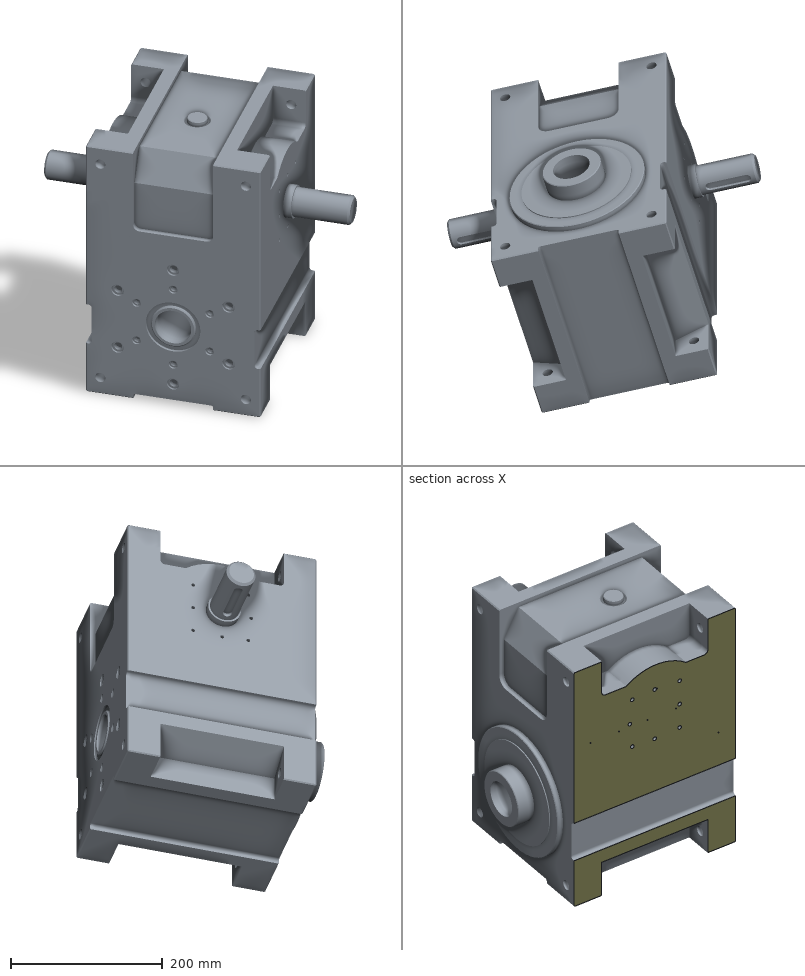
import cadquery as cq


WIDTH = 240.0
DEPTH = 260.0
HEIGHT = 380.0
EDGE_CHAMFER = 1.5
OUTPUT_AXIS_HEIGHT = 120.0
CENTRE_DISTANCE = 140.0
BOTTOM_Z = -OUTPUT_AXIS_HEIGHT
TOP_Z = BOTTOM_Z + HEIGHT
MID_Z = (BOTTOM_Z + TOP_Z) / 2
HALF_WIDTH = WIDTH / 2
HALF_DEPTH = DEPTH / 2

NOTCH_WIDTH = 110.0
NOTCH_DEPTH = 120.0
NOTCH_FLOOR_Z = TOP_Z - NOTCH_DEPTH
FRONT_NOTCH_RADIUS = 9.0
REAR_NOTCH_RADIUS = 15.0
CORE_INSET = 7.5
CORE_DROP = 7.5
CORE_SLOPE_RUN = 23.5
CORE_SLOPE_DROP = 43.0
BOTTOM_NOTCH_DEPTH = 7.5
BOTTOM_NOTCH_RADIUS = 3.0

GROOVE_BOTTOM_Z = -45.0
GROOVE_TOP_Z = 15.0
GROOVE_DEPTH = 8.0
GROOVE_RADIUS = 4.5

POCKET_LENGTH = 170.0
POCKET_DEPTH = 45.0
UPPER_POCKET_HEIGHT = 56.0
UPPER_POCKET_RADIUS = 6.0
BEARING_RIM_RADIUS = 80.0
BEARING_RIM_Y = -2.0
LOWER_POCKET_OUTER_HEIGHT = 55.0
LOWER_POCKET_INNER_HEIGHT = 35.0

MOUNT_HOLE_DIAMETER = 14.0
MOUNT_SPACING_X = 200.0
MOUNT_SPACING_Z = 330.0

FLANGE_DIAMETER = 185.0
FLANGE_THICKNESS = 8.5
FLANGE_STEP_DIAMETER = 150.0
FLANGE_STEP_HEIGHT = 10.0
HUB_DIAMETER = 80.0
HUB_LENGTH = 35.0
HUB_CHAMFER = 1.0
FLANGE_CHAMFER = 1.0
BORE_DIAMETER = 50.0
SLEEVE_DIAMETER = 61.0
SLEEVE_CHAMFER = 1.5
SEAL_DIAMETER = 75.0
SEAL_DEPTH = 4.0

SCREWS_PER_CIRCLE = 6
OUTER_SCREW_RADIUS = 88.0
OUTER_SCREW_HEAD_DIAMETER = 17.0
OUTER_SCREW_HOLE_DIAMETER = 11.0
INNER_SCREW_RADIUS = 58.0
INNER_SCREW_HEAD_DIAMETER = 12.0
INNER_SCREW_HOLE_DIAMETER = 8.0
SCREW_HEAD_DEPTH = 3.0
SCREW_HOLE_DEPTH = 10.0

SHAFT_SPAN = 420.0
SHAFT_DIAMETER = 40.0
SHAFT_CHAMFER = 3.0
COLLAR_DIAMETER = 45.0
COLLAR_LENGTH = 11.0
KEYWAY_WIDTH = 12.0
KEYWAY_DEPTH = 5.0
KEYWAY_LENGTH = 62.0
KEYWAY_END_GAP = 9.0

SIDE_HOLE_DIAMETER = 5.0
SIDE_HOLE_DEPTH = 6.0
SIDE_CIRCLE_RADIUS = 40.0
SIDE_SQUARE_PITCH = 76.0

PLUG_DIAMETER = 27.0
PLUG_HEIGHT = 5.0
PLUG_CHAMFER = 1.0
PLUG_Y = -15.0
PLUG_RECESS_DIAMETER = 36.0
PLUG_RECESS_DEPTH = 2.0
PLUG_RECESS_TAPER = 45.0


def cylinder_y(diameter, start_y, end_y):
    """Cylinder on the output axis between two Y positions."""
    start = cq.Vector(0, start_y, 0)
    solid = cq.Solid.makeCylinder(diameter / 2, end_y - start_y, start, cq.Vector(0, 1, 0))
    return cq.Workplane(obj=solid)


def cylinder_x(diameter, length):
    """Cylinder on the input axis, centred on x = 0."""
    start = cq.Vector(-length / 2, 0, CENTRE_DISTANCE)
    solid = cq.Solid.makeCylinder(diameter / 2, length, start, cq.Vector(1, 0, 0))
    return cq.Workplane(obj=solid)


def box_between(x0, x1, y0, y1, z0, z1):
    """Axis-aligned box between two opposite corners."""
    return cq.Workplane().box(x1 - x0, y1 - y0, z1 - z0, centered=False).translate((x0, y0, z0))


def both_sides(tool):
    """The given body together with its mirror image across x = 0."""
    return tool.union(tool.mirror("YZ"))


def housing_block():
    block = box_between(-HALF_WIDTH, HALF_WIDTH, -HALF_DEPTH, HALF_DEPTH, BOTTOM_Z, TOP_Z)
    return block.edges().chamfer(EDGE_CHAMFER)


def top_notch():
    """Slot over the top, wrapped around a core with sloping front and rear shoulders."""
    half_notch = NOTCH_WIDTH / 2
    front = box_between(-half_notch, half_notch, -HALF_DEPTH, 0, NOTCH_FLOOR_Z, TOP_Z)
    front = front.edges("|Y and <Z").fillet(FRONT_NOTCH_RADIUS)
    rear = box_between(-half_notch, half_notch, 0, HALF_DEPTH, NOTCH_FLOOR_Z, TOP_Z)
    rear = rear.edges("|Y and <Z").fillet(REAR_NOTCH_RADIUS)

    core_top_z = TOP_Z - CORE_DROP
    shoulder_z = core_top_z - CORE_SLOPE_DROP
    core_half_depth = HALF_DEPTH - CORE_INSET
    ridge_half_depth = core_half_depth - CORE_SLOPE_RUN
    core = (
        cq.Workplane("YZ")
        .moveTo(-core_half_depth, NOTCH_FLOOR_Z)
        .lineTo(-core_half_depth, shoulder_z)
        .lineTo(-ridge_half_depth, core_top_z)
        .lineTo(ridge_half_depth, core_top_z)
        .lineTo(core_half_depth, shoulder_z)
        .lineTo(core_half_depth, NOTCH_FLOOR_Z)
        .close()
        .extrude(half_notch, both=True)
    )
    return front.union(rear).cut(core)


def bottom_notch():
    half_notch = NOTCH_WIDTH / 2
    roof_z = BOTTOM_Z + BOTTOM_NOTCH_DEPTH
    notch = box_between(-half_notch, half_notch, -HALF_DEPTH, HALF_DEPTH, BOTTOM_Z, roof_z)
    return notch.edges("|Y and >Z").fillet(BOTTOM_NOTCH_RADIUS)


def side_grooves():
    floor_x = -HALF_WIDTH + GROOVE_DEPTH
    groove = box_between(
        -HALF_WIDTH, floor_x, -HALF_DEPTH, HALF_DEPTH, GROOVE_BOTTOM_Z, GROOVE_TOP_Z
    )
    return both_sides(groove.edges("|Y and >X").fillet(GROOVE_RADIUS))


def upper_pockets():
    """Pockets open to the top, with the round bearing housing rising through the floor."""
    half_length = POCKET_LENGTH / 2
    inner_x = -HALF_WIDTH + POCKET_DEPTH
    pocket = box_between(
        -HALF_WIDTH, inner_x, -half_length, half_length, TOP_Z - UPPER_POCKET_HEIGHT, TOP_Z
    )
    pocket = pocket.edges("|X and <Z").fillet(UPPER_POCKET_RADIUS)
    rim = cylinder_x(2 * BEARING_RIM_RADIUS, WIDTH).translate((0, BEARING_RIM_Y, 0))
    return both_sides(pocket.cut(rim))


def lower_pockets():
    """Pockets open to the bottom, with a roof that slopes down towards the middle."""
    inner_x = -HALF_WIDTH + POCKET_DEPTH
    pocket = (
        cq.Workplane("XZ")
        .moveTo(-HALF_WIDTH, BOTTOM_Z)
        .lineTo(-HALF_WIDTH, BOTTOM_Z + LOWER_POCKET_OUTER_HEIGHT)
        .lineTo(inner_x, BOTTOM_Z + LOWER_POCKET_INNER_HEIGHT)
        .lineTo(inner_x, BOTTOM_Z)
        .close()
        .extrude(POCKET_LENGTH / 2, both=True)
    )
    return both_sides(pocket)


def mounting_holes():
    return (
        cq.Workplane("XZ", origin=(0, 0, MID_Z))
        .rect(MOUNT_SPACING_X, MOUNT_SPACING_Z, forConstruction=True)
        .vertices()
        .circle(MOUNT_HOLE_DIAMETER / 2)
        .extrude(HALF_DEPTH, both=True)
    )


def output_hub():
    """Rear flange with a raised face and the hub that carries the bore."""
    flange = cylinder_y(FLANGE_DIAMETER, 0, HALF_DEPTH + FLANGE_THICKNESS)
    flange = flange.faces(">Y").chamfer(FLANGE_CHAMFER)
    raised_face = cylinder_y(FLANGE_STEP_DIAMETER, 0, HALF_DEPTH + FLANGE_STEP_HEIGHT)
    hub = cylinder_y(HUB_DIAMETER, 0, HALF_DEPTH + HUB_LENGTH)
    hub = hub.faces(">Y").chamfer(HUB_CHAMFER)
    return flange.union(raised_face).union(hub)


def output_bore():
    """Through bore, and a seal groove around the chamfered sleeve at its front end."""
    front_y = -HALF_DEPTH
    bore = cylinder_y(BORE_DIAMETER, front_y, HALF_DEPTH + HUB_LENGTH)
    sleeve = cylinder_y(SLEEVE_DIAMETER, front_y, front_y + SEAL_DEPTH)
    sleeve = sleeve.faces("<Y").chamfer(SLEEVE_CHAMFER)
    seal_groove = cylinder_y(SEAL_DIAMETER, front_y, front_y + SEAL_DEPTH).cut(sleeve)
    return bore.union(seal_groove)


def screw_circle(radius, head_diameter, hole_diameter):
    """Ring of blind counterbored holes in the front face, the first one straight up."""
    front_y = -HALF_DEPTH
    head = cylinder_y(head_diameter, front_y, front_y + SCREW_HEAD_DEPTH)
    hole = cylinder_y(hole_diameter, front_y, front_y + SCREW_HOLE_DEPTH)
    screw = head.union(hole).translate((0, 0, radius))
    screws = cq.Workplane()
    for index in range(SCREWS_PER_CIRCLE):
        angle = index * 360 / SCREWS_PER_CIRCLE
        screws = screws.add(screw.rotate((0, 0, 0), (0, 1, 0), angle))
    return screws.combine()


def input_shaft():
    """Double-ended shaft with collars, and a keyway on the underside of each end."""
    shaft = cylinder_x(SHAFT_DIAMETER, SHAFT_SPAN).faces("<X or >X").chamfer(SHAFT_CHAMFER)
    collars = cylinder_x(COLLAR_DIAMETER, WIDTH + 2 * COLLAR_LENGTH)
    keyway_x = SHAFT_SPAN / 2 - KEYWAY_END_GAP - KEYWAY_LENGTH / 2
    keyway_z = CENTRE_DISTANCE - SHAFT_DIAMETER / 2
    keyways = (
        cq.Workplane("XY", origin=(0, 0, keyway_z))
        .pushPoints([(-keyway_x, 0), (keyway_x, 0)])
        .slot2D(KEYWAY_LENGTH, KEYWAY_WIDTH)
        .extrude(KEYWAY_DEPTH)
    )
    return shaft.cut(keyways).union(collars)


def side_screw_holes():
    """Two sets of four blind holes around the input shaft on both sides."""
    half_pitch = SIDE_SQUARE_PITCH / 2
    points = []
    for offset in (-SIDE_CIRCLE_RADIUS, SIDE_CIRCLE_RADIUS):
        points.append((offset, 0))
        points.append((0, offset))
    for side_y in (-half_pitch, half_pitch):
        for side_z in (-half_pitch, half_pitch):
            points.append((BEARING_RIM_Y + side_y, side_z))
    holes = (
        cq.Workplane("YZ", origin=(-HALF_WIDTH, 0, CENTRE_DISTANCE))
        .pushPoints(points)
        .circle(SIDE_HOLE_DIAMETER / 2)
        .extrude(SIDE_HOLE_DEPTH)
    )
    return both_sides(holes)


def add_filler_plug(body):
    """Round plug standing in a shallow conical recess on top of the core."""
    seat_z = TOP_Z - CORE_DROP
    recess_floor_z = seat_z - PLUG_RECESS_DEPTH
    recess = (
        cq.Workplane("XY", origin=(0, PLUG_Y, seat_z))
        .circle(PLUG_RECESS_DIAMETER / 2)
        .extrude(-PLUG_RECESS_DEPTH, taper=PLUG_RECESS_TAPER)
    )
    plug = (
        cq.Workplane("XY", origin=(0, PLUG_Y, recess_floor_z))
        .circle(PLUG_DIAMETER / 2)
        .extrude(PLUG_RECESS_DEPTH + PLUG_HEIGHT)
        .faces(">Z")
        .chamfer(PLUG_CHAMFER)
    )
    return body.cut(recess).union(plug)


body = housing_block()
body = body.cut(top_notch())
body = body.cut(bottom_notch())
body = body.cut(side_grooves())
body = body.cut(upper_pockets())
body = body.cut(lower_pockets())
body = body.cut(mounting_holes())
body = body.union(input_shaft())
body = body.cut(side_screw_holes())
body = body.union(output_hub())
body = body.cut(output_bore())
body = body.cut(screw_circle(OUTER_SCREW_RADIUS, OUTER_SCREW_HEAD_DIAMETER, OUTER_SCREW_HOLE_DIAMETER))
body = body.cut(screw_circle(INNER_SCREW_RADIUS, INNER_SCREW_HEAD_DIAMETER, INNER_SCREW_HOLE_DIAMETER))
result = add_filler_plug(body)